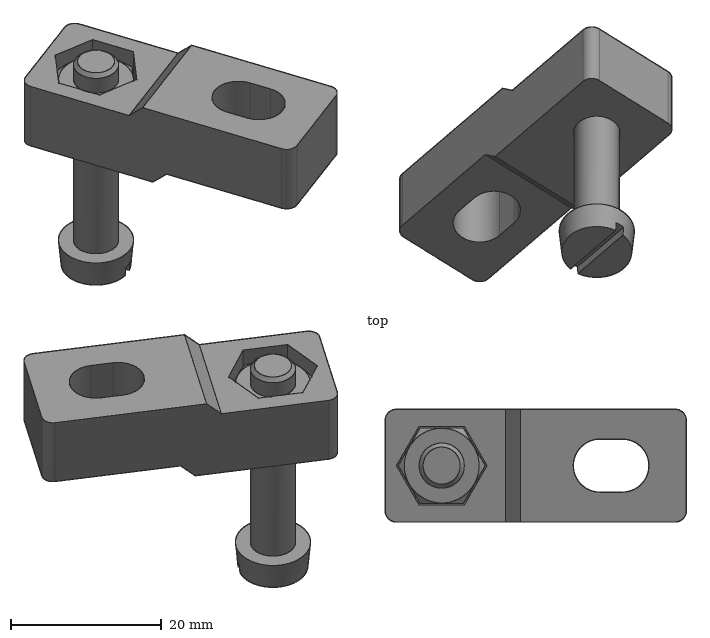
import cadquery as cq
import math

BLOCK_LENGTH = 40.0
BLOCK_WIDTH = 15.0
BLOCK_THICKNESS = 10.0
BLOCK_BOTTOM = 23.0
STEP_HEIGHT = 2.0
TOP_RAMP_START = 16.0
BOTTOM_RAMP_START = 19.5
CORNER_RADIUS = 1.5
SLOT_CENTER_X = 30.0
SLOT_LENGTH = 10.0
SLOT_WIDTH = 7.0

BOLT_X = 7.5
SHANK_DIAMETER = 6.0
SHANK_LENGTH = 30.0
TIP_DIAMETER = 4.9
TIP_CHAMFER = (SHANK_DIAMETER - TIP_DIAMETER) / 2
HEAD_HEIGHT = 4.0
HEAD_TOP_DIAMETER = 10.0
HEAD_DRAFT_ANGLE = 5.0
DRIVER_SLOT_WIDTH = 1.3
DRIVER_SLOT_DEPTH = 1.4
BOLT_HOLE_DIAMETER = 6.2

NUT_ACROSS_FLATS = 10.0
NUT_HEIGHT = 5.0
NUT_CHAMFER_ANGLE = 30.0
NUT_FACE_DIAMETER = 9.9
RECESS_ACROSS_FLATS = 10.4
NUT_TOP_DEPTH = 2.0

BLOCK_LOW_TOP = BLOCK_BOTTOM + BLOCK_THICKNESS
NUT_TOP = BLOCK_LOW_TOP - NUT_TOP_DEPTH
NUT_BOTTOM = NUT_TOP - NUT_HEIGHT


def across_corners(across_flats):
    return across_flats / math.cos(math.radians(30))


def hexagon_prism(across_flats, bottom, height):
    """Hexagonal prism on the bolt axis, with two corners along X."""
    return (
        cq.Workplane("XY", origin=(BOLT_X, 0, bottom))
        .polygon(6, across_corners(across_flats))
        .extrude(height)
    )


def cylinder(diameter, bottom, height):
    """Upright cylinder on the bolt axis."""
    return cq.Workplane("XY", origin=(BOLT_X, 0, bottom)).circle(diameter / 2).extrude(height)


def make_block():
    bar = (
        cq.Workplane("XZ")
        .moveTo(0, BLOCK_BOTTOM)
        .lineTo(BOTTOM_RAMP_START, BLOCK_BOTTOM)
        .line(STEP_HEIGHT, STEP_HEIGHT)
        .lineTo(BLOCK_LENGTH, BLOCK_BOTTOM + STEP_HEIGHT)
        .lineTo(BLOCK_LENGTH, BLOCK_LOW_TOP + STEP_HEIGHT)
        .lineTo(TOP_RAMP_START + STEP_HEIGHT, BLOCK_LOW_TOP + STEP_HEIGHT)
        .line(-STEP_HEIGHT, -STEP_HEIGHT)
        .lineTo(0, BLOCK_LOW_TOP)
        .close()
        .extrude(BLOCK_WIDTH / 2, both=True)
        .edges("|Z")
        .fillet(CORNER_RADIUS)
    )
    slot = (
        cq.Workplane("XY", origin=(SLOT_CENTER_X, 0, BLOCK_BOTTOM))
        .slot2D(SLOT_LENGTH, SLOT_WIDTH)
        .extrude(BLOCK_THICKNESS + STEP_HEIGHT)
    )
    recess = hexagon_prism(RECESS_ACROSS_FLATS, NUT_BOTTOM, BLOCK_LOW_TOP - NUT_BOTTOM)
    bolt_hole = cylinder(BOLT_HOLE_DIAMETER, BLOCK_BOTTOM, BLOCK_THICKNESS)
    return bar.cut(slot).cut(recess).cut(bolt_hole)


def make_bolt():
    head = (
        cq.Workplane("XY", origin=(BOLT_X, 0, HEAD_HEIGHT))
        .circle(HEAD_TOP_DIAMETER / 2)
        .extrude(-HEAD_HEIGHT, taper=HEAD_DRAFT_ANGLE)
    )
    shank = cylinder(SHANK_DIAMETER, HEAD_HEIGHT, SHANK_LENGTH)
    shank = shank.faces(">Z").chamfer(TIP_CHAMFER)
    driver_slot = (
        cq.Workplane("XY", origin=(BOLT_X, 0, 0))
        .rect(HEAD_TOP_DIAMETER, DRIVER_SLOT_WIDTH)
        .extrude(DRIVER_SLOT_DEPTH)
    )
    return head.union(shank).cut(driver_slot)


def make_nut():
    corner_radius = across_corners(NUT_ACROSS_FLATS) / 2
    face_radius = NUT_FACE_DIAMETER / 2
    chamfer_height = (corner_radius - face_radius) * math.tan(math.radians(NUT_CHAMFER_ANGLE))
    envelope = (
        cq.Workplane("XZ", origin=(BOLT_X, 0, 0))
        .moveTo(0, NUT_BOTTOM)
        .lineTo(corner_radius, NUT_BOTTOM)
        .lineTo(corner_radius, NUT_TOP - chamfer_height)
        .lineTo(face_radius, NUT_TOP)
        .lineTo(0, NUT_TOP)
        .close()
        .revolve(360, (0, 0, 0), (0, 1, 0))
    )
    bore = cylinder(SHANK_DIAMETER, NUT_BOTTOM, NUT_HEIGHT)
    return hexagon_prism(NUT_ACROSS_FLATS, NUT_BOTTOM, NUT_HEIGHT).intersect(envelope).cut(bore)


block = make_block()
bolt = make_bolt()
nut = make_nut()

result = cq.Compound.makeCompound([block.val(), bolt.val(), nut.val()])